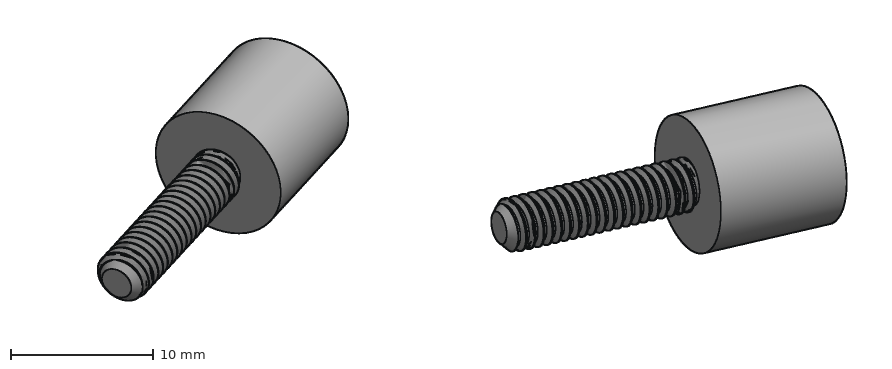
import cadquery as cq
import math

head_diameter = 10.0
total_length = 25.0
head_length = head_diameter
stud_length = total_length - head_length

major_diameter = 3.9
core_diameter = 3.1
pitch = 0.7
flank_angle = 30.0
crest_width = pitch / 8
first_crest = 0.45
root_overlap = 0.05
crest_clearance = 0.5

tip_diameter = 2.35

major_radius = major_diameter / 2
core_radius = core_diameter / 2
tip_radius = tip_diameter / 2


def stud_envelope():
    """Rod along +Z, clear of the crests, whose 45 degree tip cone starts at Z = 0."""
    radius = major_radius + crest_clearance
    return cq.Workplane("XY").circle(radius).extrude(stud_length).faces("<Z").chamfer(radius - tip_radius)


def thread_ridge(start, height):
    """Helical ridge whose crest passes the +X side at Z = start."""
    inner_radius = core_radius - root_overlap
    half_crest = crest_width / 2
    half_base = half_crest + (major_radius - inner_radius) * math.tan(math.radians(flank_angle))
    path = cq.Wire.makeHelix(pitch, height, core_radius)
    ridge = (
        cq.Workplane("XZ")
        .moveTo(inner_radius, -half_base)
        .lineTo(major_radius, -half_crest)
        .lineTo(major_radius, half_crest)
        .lineTo(inner_radius, half_base)
        .close()
        .sweep(cq.Workplane(path), isFrenet=True)
    )
    return ridge.translate((0, 0, start))


def threaded_stud():
    """Stud along +Z with its tip at Z = 0, ending at the head face."""
    start = first_crest - 2 * pitch
    height = (math.ceil(stud_length / pitch) + 3) * pitch
    core = cq.Workplane("XY").workplane(offset=start - pitch).circle(core_radius).extrude(height + 2 * pitch)
    return core.union(thread_ridge(start, height)).intersect(stud_envelope())


head = cq.Workplane("XY").workplane(offset=stud_length).circle(head_diameter / 2).extrude(head_length)
part = threaded_stud().union(head)

result = part.rotate((0, 0, 0), (1, 0, 0), -90).translate((0, -stud_length, 0))